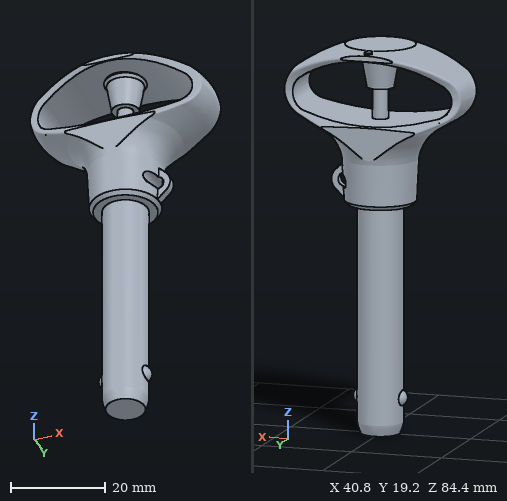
import cadquery as cq
import math

total_height = 84.4

pin_radius = 5.0
tip_radius = 4.25
tip_bulge_radius = 4.75
tip_height = 2.5
ball_radius = 2.0
ball_offset = 4.0
ball_height = 7.9

collar_bottom = 49.7
collar_chamfer_height = 0.9
collar_chamfer_radius = 6.9
collar_bottom_radius = 7.75
collar_top = 59.65
collar_top_radius = 8.2

flare_mid = (9.7, 63.5)
flare_top = (12.4, 66.3)
rim_bottom = (16.9, 69.0)
rim_lower_mid = (19.35, 71.0)
rim_radius = 20.42
rim_height = 74.2
shoulder = (18.56, 78.76)
crown_mid = (13.4, 81.9)
crown_flat_radius = 7.56

handle_half_width = 9.6
flank_plan_radius = 200.0
waist_half_width = 6.58
flank_upper_radius = 12.5
flank_lower_radius = 10.3
flank_reach = 12.0
flank_edge_radius = 0.5
edge_tolerance = 0.01

facet_top = 67.8
facet_top_half_width = 8.8
facet_bottom = 60.5
facet_bottom_half_width = 8.4

dimple_offset = 8.4
dimple_radius = 0.85
dimple_depth = 0.55

window_top = 82.3
window_upper_corner = (16.0, 77.3)
window_half_length = 17.7
window_lower_corner = (14.7, 70.25)
window_bottom = 68.1

button_bottom = 75.1
button_land_height = 0.4
button_bottom_radius = 3.0
button_neck_height = 81.3
button_neck_radius = 4.05
button_root_radius = 4.6
button_root_height = 82.0
stem_radius = 1.72
seat_top = 68.35
seat_top_radius = 3.2
seat_bottom_radius = 4.65

tab_x = 7.6
tab_height = 54.65
tab_radius = 3.05
tab_top = 58.25
tab_thickness = 2.0
tab_hole_radius = 1.5


def turned(outline, axis_position=0):
    """Close a (Y, Z) outline and revolve it about the upright axis at the given Y."""
    return outline.close().revolve(360, (axis_position, 0, 0), (axis_position, 1, 0))


def make_pin():
    return turned(
        cq.Workplane("YZ")
        .lineTo(tip_radius, 0)
        .threePointArc((tip_bulge_radius, tip_height / 2), (pin_radius, tip_height))
        .lineTo(pin_radius, collar_top)
        .lineTo(0, collar_top)
    )


def make_turned_handle():
    return turned(
        cq.Workplane("YZ")
        .moveTo(0, collar_bottom)
        .lineTo(collar_chamfer_radius, collar_bottom)
        .lineTo(collar_bottom_radius, collar_bottom + collar_chamfer_height)
        .lineTo(collar_top_radius, collar_top)
        .threePointArc(flare_mid, flare_top)
        .lineTo(*rim_bottom)
        .threePointArc(rim_lower_mid, (rim_radius, rim_height))
        .tangentArcPoint(shoulder, relative=False)
        .threePointArc(crown_mid, (crown_flat_radius, total_height))
        .lineTo(0, total_height)
    )


def arc_rise(radius, run):
    """Sideways rise of an arc at a given distance from its lowest point."""
    return radius - math.sqrt(radius**2 - run**2)


def flank_envelope():
    """Body bounded by the +Y flank: waisted in height, bowed in plan."""
    upper_run = total_height - rim_height
    lower_rise = flank_reach - waist_half_width
    lower_run = math.sqrt(flank_lower_radius**2 - (flank_lower_radius - lower_rise) ** 2)

    def upper_point(run):
        return (waist_half_width + arc_rise(flank_upper_radius, run), rim_height + run)

    def lower_point(run):
        return (waist_half_width + arc_rise(flank_lower_radius, run), rim_height - run)

    axis_y = handle_half_width - flank_plan_radius
    outline = (
        cq.Workplane("YZ")
        .moveTo(axis_y, 0)
        .lineTo(flank_reach, 0)
        .lineTo(*lower_point(lower_run))
        .threePointArc(lower_point(lower_run / 2), (waist_half_width, rim_height))
        .threePointArc(upper_point(upper_run / 2), upper_point(upper_run))
        .lineTo(axis_y, total_height)
    )
    return turned(outline, axis_y)


def facet_envelope():
    """Prism along X that trims the flat facets and the overall width."""
    side = [
        (handle_half_width, 0),
        (handle_half_width, facet_bottom),
        (facet_bottom_half_width, facet_bottom),
        (facet_top_half_width, facet_top),
        (handle_half_width, facet_top),
        (handle_half_width, total_height),
    ]
    mirrored = [(-y, z) for y, z in reversed(side)]
    return cq.Workplane("YZ").polyline(side + mirrored).close().extrude(2 * rim_radius, both=True)


def mirror_x(point):
    return (-point[0], point[1])


def make_window():
    upper, lower = window_upper_corner, window_lower_corner
    return (
        cq.Workplane("XZ")
        .moveTo(*mirror_x(upper))
        .threePointArc((0, window_top), upper)
        .threePointArc((window_half_length, rim_height), lower)
        .threePointArc((0, window_bottom), mirror_x(lower))
        .threePointArc((-window_half_length, rim_height), mirror_x(upper))
        .close()
        .extrude(2 * handle_half_width, both=True)
    )


def is_flank_edge(edge):
    """True for the edges where a flank meets the turned shape, not for seams."""
    box = edge.BoundingBox()
    on_one_side = box.ymin * box.ymax > 0
    spans_height = box.zlen > edge_tolerance
    spans_length = box.xlen > edge_tolerance
    return on_one_side and spans_height and spans_length


def make_handle():
    flank = flank_envelope()
    body = make_turned_handle().intersect(flank).intersect(flank.mirror("XZ"))
    flank_edges = [edge for edge in body.edges().vals() if is_flank_edge(edge)]
    body = body.newObject(flank_edges).fillet(flank_edge_radius)
    return body.intersect(facet_envelope()).cut(make_window()).cut(make_tab_hole())


def make_button():
    return turned(
        cq.Workplane("YZ")
        .moveTo(0, button_bottom)
        .lineTo(button_bottom_radius, button_bottom)
        .lineTo(button_bottom_radius, button_bottom + button_land_height)
        .lineTo(button_neck_radius, button_neck_height)
        .lineTo(button_root_radius, button_root_height)
        .lineTo(button_root_radius, window_top)
        .lineTo(0, window_top)
    )


def make_stem():
    return turned(
        cq.Workplane("YZ")
        .moveTo(0, collar_top)
        .lineTo(seat_bottom_radius, collar_top)
        .lineTo(seat_bottom_radius, window_bottom)
        .lineTo(seat_top_radius, seat_top)
        .lineTo(stem_radius, seat_top)
        .lineTo(stem_radius, button_bottom)
        .lineTo(0, button_bottom)
    )


def make_tab():
    tangent = tab_radius * math.sin(math.pi / 4)
    tab_bottom = collar_bottom + collar_chamfer_height
    return (
        cq.Workplane("XZ", origin=(0, tab_thickness / 2, 0))
        .moveTo(pin_radius, tab_bottom)
        .lineTo(collar_bottom_radius, tab_bottom)
        .lineTo(tab_x + tangent, tab_height - tangent)
        .threePointArc((tab_x + tab_radius, tab_height), (tab_x + tangent, tab_height + tangent))
        .lineTo(collar_top_radius, tab_top)
        .lineTo(pin_radius, tab_top)
        .close()
        .extrude(tab_thickness)
        .cut(make_tab_hole())
    )


def make_tab_hole():
    return (
        cq.Workplane("XZ")
        .center(tab_x, tab_height)
        .circle(tab_hole_radius)
        .extrude(handle_half_width, both=True)
    )


def make_dimples():
    return (
        cq.Workplane("XY", origin=(0, 0, total_height - dimple_depth))
        .pushPoints([(0, -dimple_offset), (0, dimple_offset)])
        .circle(dimple_radius)
        .extrude(2 * dimple_depth)
    )


def make_balls():
    return (
        cq.Workplane("XY", origin=(0, 0, ball_height))
        .pushPoints([(-ball_offset, 0), (ball_offset, 0)])
        .sphere(ball_radius)
    )


result = (
    make_handle()
    .union(make_tab())
    .union(make_pin())
    .union(make_button())
    .union(make_stem())
    .union(make_balls())
    .cut(make_dimples())
)